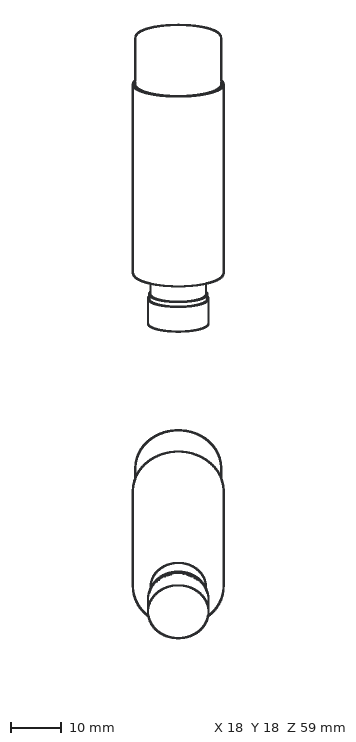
import cadquery as cq

total_height = 59.0
plug_height = 5.1
collar_top = 6.0
body_bottom = 10.05
body_top = 49.0

plug_diameter = 12.0
collar_diameter = 11.5
neck_diameter = 11.0
body_diameter = 18.0
head_diameter = 17.0

head_fillet_radius = 0.5
body_fillet_radius = 0.5


def cylinder(diameter, bottom, top):
    """Vertical cylinder on the Z axis between two heights."""
    return cq.Workplane("XY").workplane(offset=bottom).circle(diameter / 2).extrude(top - bottom)


plug = cylinder(plug_diameter, 0, plug_height)
collar = cylinder(collar_diameter, plug_height, collar_top)
neck = cylinder(neck_diameter, collar_top, body_bottom)

body = cylinder(body_diameter, body_bottom, body_top).faces("<Z").fillet(body_fillet_radius)

head = cylinder(head_diameter, body_top, total_height).faces(">Z").fillet(head_fillet_radius)

result = plug.union(collar).union(neck).union(body).union(head)